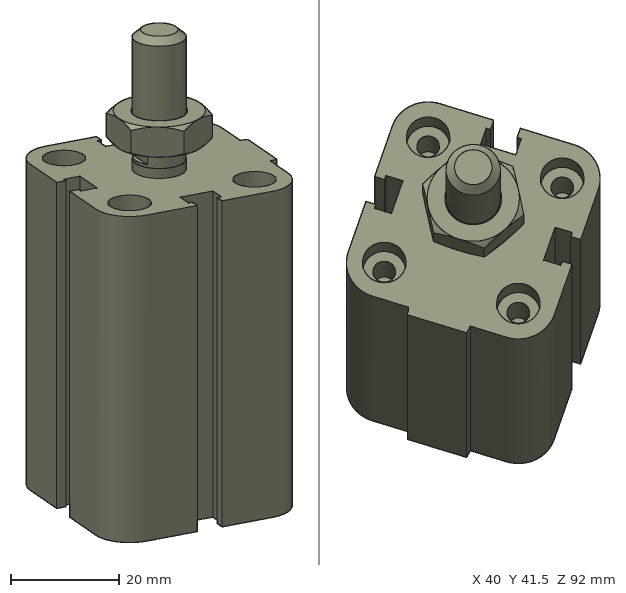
import cadquery as cq
import math


HOUSING_WIDTH = 40.0
HOUSING_HEIGHT = 64.5
CORNER_RADIUS = 7.0
RIDGE_TOP_WIDTH = 11.5
RIDGE_BASE_WIDTH = 12.0
RIDGE_HEIGHT = 1.5

SLOT_MOUTH_WIDTH = 5.15
SLOT_INNER_WIDTH = 6.8
SLOT_LIP_DEPTH = 1.9
SLOT_DEPTH = 5.2
SLOT_DIRECTIONS = (0, 90, 180)

HOLE_DIAMETER = 4.1
HOLE_DEPTH = 12.9
COUNTERBORE_DIAMETER = 8.0
COUNTERBORE_DEPTH = 4.8
HOLE_SPACING = HOUSING_WIDTH - 2 * CORNER_RADIUS

ROD_TOP = 92.0
ROD_DIAMETER = 10.0
ROD_TIP_DIAMETER = 6.9
ROD_TIP_HEIGHT = 1.4
COLLAR_HEIGHT = 1.9
NECK_DIAMETER = 9.8
FLATS_WIDTH = 8.0
FLATS_BASE_HEIGHT = 2.5

NUT_ACROSS_FLATS = 17.0
NUT_THICKNESS = 6.0
NUT_CLEARANCE = 5.5
NUT_HOLE_DIAMETER = ROD_DIAMETER
NUT_COUNTERSINK_DIAMETER = 10.5
NUT_CHAMFER_ANGLE = 30.0

NUT_BOTTOM = HOUSING_HEIGHT + NUT_CLEARANCE


def t_slot(direction):
    """Cutter for a full-height T-slot; direction 0 opens toward -X, 90 toward -Y."""
    half_mouth = SLOT_MOUTH_WIDTH / 2
    half_inner = SLOT_INNER_WIDTH / 2
    outer = -HOUSING_WIDTH / 2
    lip = outer + SLOT_LIP_DEPTH
    floor = outer + SLOT_DEPTH
    outline = [
        (outer, -half_mouth),
        (lip, -half_mouth),
        (lip, -half_inner),
        (floor, -half_inner),
        (floor, half_inner),
        (lip, half_inner),
        (lip, half_mouth),
        (outer, half_mouth),
    ]
    cutter = cq.Workplane("XY").polyline(outline).close().extrude(HOUSING_HEIGHT)
    return cutter.rotate((0, 0, 0), (0, 0, 1), direction)


def make_ridge():
    """Full-height ridge along the +Y side, slightly wider at its base."""
    base = HOUSING_WIDTH / 2
    outline = [
        (-RIDGE_BASE_WIDTH / 2, 0),
        (-RIDGE_BASE_WIDTH / 2, base),
        (-RIDGE_TOP_WIDTH / 2, base + RIDGE_HEIGHT),
        (RIDGE_TOP_WIDTH / 2, base + RIDGE_HEIGHT),
        (RIDGE_BASE_WIDTH / 2, base),
        (RIDGE_BASE_WIDTH / 2, 0),
    ]
    return cq.Workplane("XY").polyline(outline).close().extrude(HOUSING_HEIGHT)


def make_housing():
    housing = (
        cq.Workplane("XY")
        .rect(HOUSING_WIDTH, HOUSING_WIDTH)
        .extrude(HOUSING_HEIGHT)
        .edges("|Z")
        .fillet(CORNER_RADIUS)
        .union(make_ridge())
    )
    for direction in SLOT_DIRECTIONS:
        housing = housing.cut(t_slot(direction))
    top_plane = cq.Workplane("XY", origin=(0, 0, HOUSING_HEIGHT))
    hole_centers = top_plane.rect(HOLE_SPACING, HOLE_SPACING, forConstruction=True).vertices()
    counterbores = hole_centers.circle(COUNTERBORE_DIAMETER / 2).extrude(-COUNTERBORE_DEPTH)
    holes = hole_centers.circle(HOLE_DIAMETER / 2).extrude(-HOLE_DEPTH)
    return housing.cut(counterbores).cut(holes)


def make_rod():
    """Collar, neck with two flats for a wrench, then the shank with a tapered tip."""
    collar_top = HOUSING_HEIGHT + COLLAR_HEIGHT
    profile = [
        (0, HOUSING_HEIGHT),
        (ROD_DIAMETER / 2, HOUSING_HEIGHT),
        (ROD_DIAMETER / 2, collar_top),
        (NECK_DIAMETER / 2, collar_top),
        (NECK_DIAMETER / 2, NUT_BOTTOM),
        (ROD_DIAMETER / 2, NUT_BOTTOM),
        (ROD_DIAMETER / 2, ROD_TOP - ROD_TIP_HEIGHT),
        (ROD_TIP_DIAMETER / 2, ROD_TOP),
        (0, ROD_TOP),
    ]
    rod = cq.Workplane("XZ").polyline(profile).close().revolve(360, (0, 0, 0), (0, 1, 0))

    flats_base = HOUSING_HEIGHT + FLATS_BASE_HEIGHT
    flats_height = NUT_BOTTOM - flats_base
    flats_plane = cq.Workplane("XY", origin=(0, 0, flats_base))
    removed = (
        flats_plane.rect(2 * ROD_DIAMETER, 2 * ROD_DIAMETER)
        .rect(2 * ROD_DIAMETER, FLATS_WIDTH)
        .extrude(flats_height)
    )
    return rod.cut(removed)


def make_nut():
    """Hexagon nut, corners on the X axis, chamfered at both ends."""
    corner_radius = NUT_ACROSS_FLATS / math.sqrt(3)
    face_radius = NUT_ACROSS_FLATS / 2
    chamfer_height = (corner_radius - face_radius) * math.tan(math.radians(NUT_CHAMFER_ANGLE))
    nut_top = NUT_BOTTOM + NUT_THICKNESS
    nut_plane = cq.Workplane("XY", origin=(0, 0, NUT_BOTTOM))
    hexagon = nut_plane.polygon(6, 2 * corner_radius).extrude(NUT_THICKNESS)

    hole_radius = NUT_HOLE_DIAMETER / 2
    sink_radius = NUT_COUNTERSINK_DIAMETER / 2
    sink_depth = sink_radius - hole_radius
    section = [
        (sink_radius, NUT_BOTTOM),
        (face_radius, NUT_BOTTOM),
        (corner_radius, NUT_BOTTOM + chamfer_height),
        (corner_radius, nut_top - chamfer_height),
        (face_radius, nut_top),
        (sink_radius, nut_top),
        (hole_radius, nut_top - sink_depth),
        (hole_radius, NUT_BOTTOM + sink_depth),
    ]
    turned = cq.Workplane("XZ").polyline(section).close().revolve(360, (0, 0, 0), (0, 1, 0))
    return hexagon.intersect(turned)


housing = make_housing()
rod = make_rod()
nut = make_nut()

result = cq.Compound.makeCompound([housing.val(), rod.val(), nut.val()])